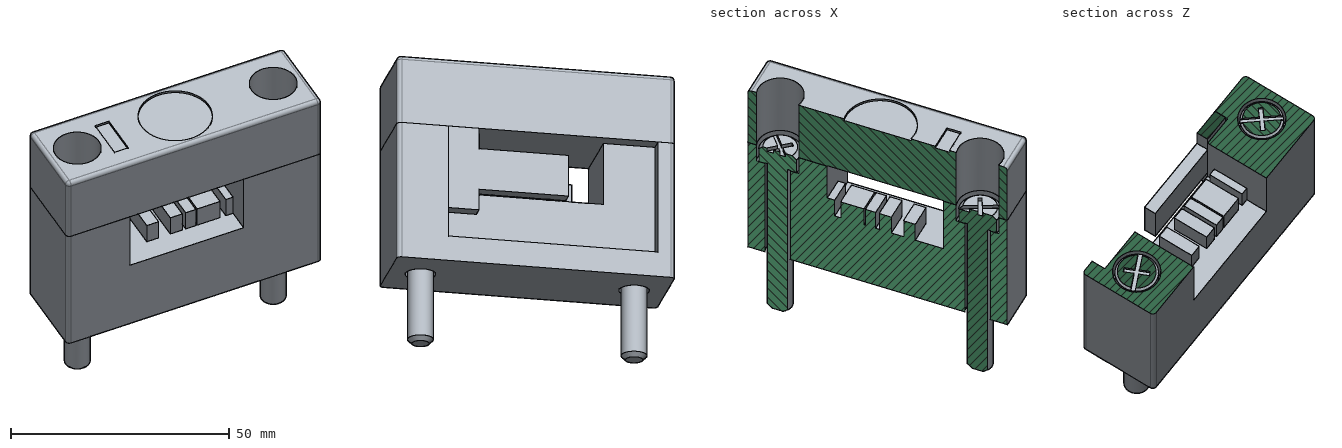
import cadquery as cq

width = 20.0
length = 65.0
height = 66.5
screw_reach = 17.0
base_height = 33.0
edge_radius = 1.0
base_bottom = screw_reach
seam = base_bottom + base_height
front = -width / 2
back_end = length / 2

screw_offset = 25.0
shank_diameter = 6.0
head_diameter = 10.0
head_height = 5.0
clearance = 1.0
tip_chamfer = 1.0
head_chamfer = 1.0
drive_slot_width = 1.0
drive_slot_depth = 1.0
drive_short_length = 6.0
screw_turns = {1: 40.0, -1: -65.0}
head_top = seam
seat = head_top - head_height

recess_depth = 0.5
round_recess_diameter = 17.0
label_width = 10.1
label_length = 3.5
label_center = -16.2

pocket_depth = 3.5
pocket_end = back_end - 12.0
pocket_length = 49.0
pocket_bottom = base_bottom + 6.0
lip_thickness = 1.0
groove_depth = 3.0

opening_end = pocket_end - 8.0
opening_length = 29.0
opening_bottom = base_bottom + 18.0

block_height = 5.0
block_depth = 9.05
block_spans = [
    (8.0, 9.85),
    (11.3, 17.15),
    (17.5, 20.1),
    (20.95, 24.0),
    (27.0, 30.0),
]

slider_thickness = 3.0
slider_leg_width = 7.1
slider_leg_bottom = base_bottom + 13.0
arm_length = 20.95
arm_height = 10.0


def block(x_min, x_max, y_min, y_max, z_min, z_max):
    """Box between the given limits."""
    box = cq.Workplane("XY").box(x_max - x_min, y_max - y_min, z_max - z_min, centered=False)
    return box.translate((x_min, y_min, z_min))


def housing_block(z_min, z_max):
    """Slice of the housing with its four upright edges rounded."""
    slab = cq.Workplane("XY").box(width, length, z_max - z_min, centered=(True, True, False))
    return slab.edges("|Z").fillet(edge_radius).translate((0, 0, z_min))


def screw_bores(diameter, z_min, z_max):
    """Cutter for one bore at each screw."""
    return (
        cq.Workplane("XY", origin=(0, 0, z_min))
        .pushPoints([(0, screw_offset), (0, -screw_offset)])
        .circle(diameter / 2)
        .extrude(z_max - z_min)
    )


def make_base():
    """Lower housing with the slider pocket, the opening and its coding blocks."""
    pocket_start = pocket_end - pocket_length
    opening_start = opening_end - opening_length
    pocket_back = front + pocket_depth
    body = housing_block(base_bottom, seam)

    body = body.cut(block(front, pocket_back, pocket_start, pocket_end, pocket_bottom, seam))
    body = body.cut(block(front + lip_thickness, pocket_back, pocket_start, pocket_end,
                          pocket_bottom - groove_depth, pocket_bottom))

    body = body.cut(block(front, width / 2, opening_start, opening_end, opening_bottom, seam))

    for near, far in block_spans:
        body = body.union(block(-block_depth / 2, block_depth / 2, pocket_end - far, pocket_end - near,
                                opening_bottom, opening_bottom + block_height))

    body = body.cut(screw_bores(head_diameter + clearance, seat, seam))
    return body.cut(screw_bores(shank_diameter + clearance, base_bottom, seat))


def make_lid():
    """Upper housing with screw bores and two shallow recesses."""
    body = housing_block(seam, height).faces(">Z").edges().fillet(edge_radius)
    body = body.cut(screw_bores(head_diameter + clearance, seam, height))
    recess_floor = cq.Workplane("XY", origin=(0, 0, height - recess_depth))
    body = body.cut(recess_floor.circle(round_recess_diameter / 2).extrude(recess_depth))
    label = recess_floor.center(0, label_center).rect(label_width, label_length)
    return body.cut(label.extrude(recess_depth))


def make_slider():
    """Upright leg against the pocket end, with an arm reaching along the pocket."""
    back = front + slider_thickness
    leg_start = pocket_end - slider_leg_width
    leg = block(front, back, leg_start, pocket_end, slider_leg_bottom, seam)
    arm = block(front, back, leg_start - arm_length, leg_start, opening_bottom, opening_bottom + arm_height)
    return leg.union(arm)


def make_screw(side):
    """Screw on the +Y (side 1) or -Y (side -1) end."""
    shank = cq.Workplane("XY").circle(shank_diameter / 2).extrude(seat).faces("<Z").chamfer(tip_chamfer)
    head = cq.Workplane("XY", origin=(0, 0, seat)).circle(head_diameter / 2).extrude(head_height)
    head = head.faces(">Z").edges().chamfer(head_chamfer)
    slot_floor = cq.Workplane("XY", origin=(0, 0, head_top - drive_slot_depth))
    long_slot = slot_floor.rect(head_diameter, drive_slot_width).extrude(drive_slot_depth)
    short_slot = slot_floor.rect(drive_slot_width, drive_short_length).extrude(drive_slot_depth)
    screw = shank.union(head).cut(long_slot).cut(short_slot)
    return screw.rotate((0, 0, 0), (0, 0, 1), screw_turns[side]).translate((0, side * screw_offset, 0))


base = make_base()
lid = make_lid()
slider = make_slider()
screws = [make_screw(side) for side in screw_turns]

result = cq.Compound.makeCompound(
    [base.val(), lid.val(), slider.val(), *[screw.val() for screw in screws]]
)